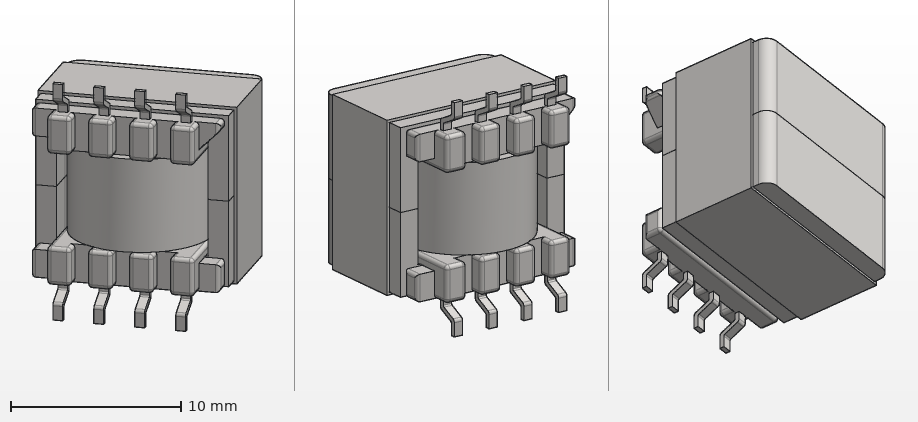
import cadquery as cq
import math


TAPE_WIDTH_X = 12.13
TAPE_THICKNESS = 0.18
CORE_WIDTH = TAPE_WIDTH_X - 2 * TAPE_THICKNESS
CORE_HALF_HEIGHT = 5.29
CORE_BACK_Y = 5.92
CORE_FRONT_Y = -1.97
CORE_CORNER_RADIUS = 0.79
WINDOW_RADIUS = 4.63
WINDOW_HALF_HEIGHT = 3.51
POST_RADIUS = 1.65

TAPE_BACK_Y = 4.74
TAPE_LENGTH_Y = 5.57

WINDING_RADIUS = 4.35
WINDING_HALF_HEIGHT = 2.88
TUBE_WALL = 0.4
TUBE_RADIUS = POST_RADIUS + TUBE_WALL

EDGE_RADIUS = 0.25
RAIL_LENGTH = 11.49
RAIL_BACK_Y = -2.2
RAIL_FRONT_Y = -3.42
RAIL_TOP_Z = 5.23
WEB_FRONT_Y = -3.68
BLOCK_WIDTH = 1.45
BLOCK_FRONT_Y = -4.65

PIN_COUNT = 4
PIN_PITCH = 2.5
PIN_WIDTH = 0.6
PIN_THICKNESS = 0.3
PIN_TIP_Z = 7.31
PIN_FOOT_FRONT_Y = -4.85
PIN_LOWER_BEND_Z = 5.72
PIN_UPPER_BEND_Z = 6.27
PIN_OUTER_BEND_RADIUS = 0.23
PIN_INNER_BEND_RADIUS = 0.12
PIN_EMBED_DEPTH = 0.58

END_PIN_X = PIN_PITCH * (PIN_COUNT - 1) / 2
PIN_XS = [PIN_PITCH * i - END_PIN_X for i in range(PIN_COUNT)]
FLANGE_RADIUS = END_PIN_X + BLOCK_WIDTH / 2


def box(x_range, y_range, z_range):
    """Axis-aligned box from its limits along X, Y and Z."""
    ranges = (x_range, y_range, z_range)
    sizes = [high - low for low, high in ranges]
    corner = tuple(low for low, high in ranges)
    return cq.Workplane("XY").box(*sizes, centered=False).translate(corner)


def centered_range(length):
    """Limits of a length centred on zero."""
    return (-length / 2, length / 2)


def cylinder(radius, z_bottom, z_top):
    """Cylinder on the winding axis."""
    return cq.Workplane("XY").workplane(offset=z_bottom).circle(radius).extrude(z_top - z_bottom)


def u_prism(radius, front_y, z_bottom, z_top):
    """Prism with a half-round back about the winding axis and straight sides to a flat front."""
    return (
        cq.Workplane("XY")
        .workplane(offset=z_bottom)
        .moveTo(-radius, front_y)
        .lineTo(-radius, 0)
        .threePointArc((0, radius), (radius, 0))
        .lineTo(radius, front_y)
        .close()
        .extrude(z_top - z_bottom)
    )


def mirror_down(shape):
    """Copy of a shape reflected through the joint plane z = 0."""
    return shape.mirror("XY")


def make_upper_core():
    """Block with rounded back corners, a U-shaped winding window and a round post."""
    core = box(centered_range(CORE_WIDTH), (CORE_FRONT_Y, CORE_BACK_Y), (0, CORE_HALF_HEIGHT))
    core = core.edges("|Z and >Y").fillet(CORE_CORNER_RADIUS)
    window = u_prism(WINDOW_RADIUS, CORE_FRONT_Y, 0, WINDOW_HALF_HEIGHT)
    post = cylinder(POST_RADIUS, 0, WINDOW_HALF_HEIGHT)
    return core.cut(window).union(post)


def make_tape():
    """Rectangular band wrapped round the core about Y."""
    tape_y = (TAPE_BACK_Y - TAPE_LENGTH_Y, TAPE_BACK_Y)
    core_height = 2 * CORE_HALF_HEIGHT
    tape_height = core_height + 2 * TAPE_THICKNESS
    outer = box(centered_range(TAPE_WIDTH_X), tape_y, centered_range(tape_height))
    inner = box(centered_range(CORE_WIDTH), tape_y, centered_range(core_height))
    return outer.cut(inner)


def make_winding():
    """Round coil that fills the spool between the flanges."""
    coil = cylinder(WINDING_RADIUS, -WINDING_HALF_HEIGHT, WINDING_HALF_HEIGHT)
    return coil.cut(cylinder(TUBE_RADIUS, -WINDING_HALF_HEIGHT, WINDING_HALF_HEIGHT))


def make_flange():
    """Upper spool flange, rounded along the side edges that face the winding."""
    flange = u_prism(FLANGE_RADIUS, RAIL_FRONT_Y, WINDING_HALF_HEIGHT, WINDOW_HALF_HEIGHT)
    return flange.faces("<Z").edges("|Y").fillet(EDGE_RADIUS)


def make_rail(corner_cut):
    """Upper terminal rail; corner_cut bevels its +X end toward the winding."""
    length_x = centered_range(RAIL_LENGTH)
    rail = box(length_x, (RAIL_FRONT_Y, RAIL_BACK_Y), (WINDOW_HALF_HEIGHT, RAIL_TOP_Z))
    if corner_cut:
        rail = rail.edges(">X and <Z").chamfer(RAIL_LENGTH / 2 - FLANGE_RADIUS)
    end_edges = rail.faces("<X or >X").edges()
    top_back_edge = rail.edges(">Y and >Z")
    return end_edges.add(top_back_edge).fillet(EDGE_RADIUS)


def make_web():
    """Raised strip on the rail front that joins the terminal blocks."""
    return box((-END_PIN_X, END_PIN_X), (WEB_FRONT_Y, RAIL_FRONT_Y), (WINDING_HALF_HEIGHT, RAIL_TOP_Z))


def make_block(x):
    """Terminal block, rounded on every edge away from the rail."""
    x_range = (x - BLOCK_WIDTH / 2, x + BLOCK_WIDTH / 2)
    block = box(x_range, (BLOCK_FRONT_Y, RAIL_FRONT_Y), (WINDING_HALF_HEIGHT, RAIL_TOP_Z))
    return block.edges("not >Y").fillet(EDGE_RADIUS)


def make_pin(x):
    """Gull-wing terminal of even thickness: a shank at the rail front, a slope and a flat foot."""
    shank_back_y = RAIL_FRONT_Y
    shank_front_y = shank_back_y - PIN_THICKNESS
    foot_back_y = PIN_FOOT_FRONT_Y + PIN_THICKNESS
    root_z = RAIL_TOP_Z - PIN_EMBED_DEPTH
    bend_angle = math.atan2(shank_front_y - PIN_FOOT_FRONT_Y, PIN_UPPER_BEND_Z - PIN_LOWER_BEND_Z)
    back_rise = PIN_THICKNESS * math.tan(bend_angle / 2)

    front_lower = (shank_front_y, PIN_LOWER_BEND_Z)
    front_upper = (PIN_FOOT_FRONT_Y, PIN_UPPER_BEND_Z)
    back_upper = (foot_back_y, PIN_UPPER_BEND_Z + back_rise)
    back_lower = (shank_back_y, PIN_LOWER_BEND_Z + back_rise)
    outline = [
        (shank_front_y, root_z),
        front_lower,
        front_upper,
        (PIN_FOOT_FRONT_Y, PIN_TIP_Z),
        (foot_back_y, PIN_TIP_Z),
        back_upper,
        back_lower,
        (shank_back_y, root_z),
    ]
    pin = (
        cq.Workplane("YZ")
        .workplane(offset=x - PIN_WIDTH / 2)
        .polyline(outline)
        .close()
        .extrude(PIN_WIDTH)
    )
    for corners, radius in (
        ((front_upper, back_lower), PIN_OUTER_BEND_RADIUS),
        ((front_lower, back_upper), PIN_INNER_BEND_RADIUS),
    ):
        for y, z in corners:
            pin = pin.edges(cq.NearestToPointSelector((x, y, z))).fillet(radius)
    return pin


def make_bobbin_end(corner_cut):
    """Upper flange with its rail, blocks and terminals."""
    end = make_flange().union(make_rail(corner_cut)).union(make_web())
    for x in PIN_XS:
        end = end.union(make_block(x)).union(make_pin(x))
    return end


def make_bobbin():
    """Spool tube between two flanged ends; only the upper end has the corner cut."""
    tube = cylinder(TUBE_RADIUS, -WINDOW_HALF_HEIGHT, WINDOW_HALF_HEIGHT)
    lower_end = mirror_down(make_bobbin_end(False))
    bobbin = tube.union(make_bobbin_end(True)).union(lower_end)
    return bobbin.cut(cylinder(POST_RADIUS, -WINDOW_HALF_HEIGHT, WINDOW_HALF_HEIGHT))


upper_core = make_upper_core()
lower_core = mirror_down(upper_core)
tape = make_tape()
winding = make_winding()
bobbin = make_bobbin()

result = cq.Compound.makeCompound(
    [upper_core.val(), lower_core.val(), tape.val(), winding.val(), bobbin.val()]
)